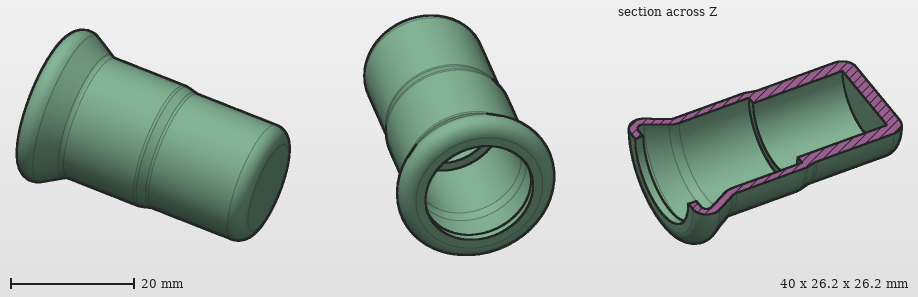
import cadquery as cq
import math

length = 40.0
bead_diameter = 26.2
body_diameter = 21.0
spigot_diameter = 20.0

socket_diameter = 18.0
spigot_bore_diameter = 15.0
socket_depth = 21.0
wall = (body_diameter - socket_diameter) / 2
spigot_wall = (spigot_diameter - spigot_bore_diameter) / 2
floor_thickness = spigot_wall

bead_round = spigot_wall
bead_center_x = bead_round
bead_center_r = bead_diameter / 2 - bead_round
flare_angle = math.radians(30)
flare_blend = 1.75

cone_start = 21.0
cone_length = 2.0
cone_blend = 2.0
spigot_end_round = spigot_wall


def on_arc(center, radius, angle):
    """Point on an arc; the angle is measured from the radial direction towards +X."""
    return (center[0] + radius * math.sin(angle), center[1] + radius * math.cos(angle))


def add_bead_and_flare(profile, inset):
    """Draw bead, flare and blend as a curve lying `inset` inside the outer surface."""
    round_radius = bead_round - inset
    blend_radius = flare_blend + inset
    cylinder_radius = body_diameter / 2 - inset
    bead_center = (bead_center_x, bead_center_r)
    bead_middle = on_arc(bead_center, round_radius, (flare_angle - math.pi / 2) / 2)
    bead_end = on_arc(bead_center, round_radius, flare_angle)

    center_rise = cylinder_radius + blend_radius - bead_center_r
    center_gap = (round_radius + blend_radius - center_rise * math.cos(flare_angle)) / math.sin(flare_angle)
    blend_center = (bead_center_x + center_gap, cylinder_radius + blend_radius)
    blend_start = on_arc(blend_center, -blend_radius, flare_angle)
    blend_middle = on_arc(blend_center, -blend_radius, flare_angle / 2)
    return (
        profile.lineTo(inset, bead_center_r)
        .threePointArc(bead_middle, bead_end)
        .lineTo(*blend_start)
        .threePointArc(blend_middle, (blend_center[0], cylinder_radius))
    )


def revolve_about_x(profile):
    return profile.close().revolve(360, (0, 0, 0), (1, 0, 0))


def make_outside():
    body_radius = body_diameter / 2
    spigot_radius = spigot_diameter / 2
    cone_end = cone_start + cone_length
    cone_angle = math.atan((body_radius - spigot_radius) / cone_length)
    corner_setback = cone_blend * math.tan(cone_angle / 2)
    body_end = cone_start - corner_setback
    spigot_start = cone_end + corner_setback
    upper_center = (body_end, body_radius - cone_blend)
    lower_center = (spigot_start, spigot_radius + cone_blend)
    end_round_center = (length - spigot_end_round, spigot_radius - spigot_end_round)

    profile = add_bead_and_flare(cq.Workplane("XY"), 0)
    profile = (
        profile.lineTo(body_end, body_radius)
        .threePointArc(
            on_arc(upper_center, cone_blend, cone_angle / 2),
            on_arc(upper_center, cone_blend, cone_angle),
        )
        .lineTo(*on_arc(lower_center, -cone_blend, cone_angle))
        .threePointArc(
            on_arc(lower_center, -cone_blend, cone_angle / 2),
            (spigot_start, spigot_radius),
        )
        .lineTo(end_round_center[0], spigot_radius)
        .threePointArc(
            on_arc(end_round_center, spigot_end_round, math.pi / 4),
            (length, end_round_center[1]),
        )
        .lineTo(length, 0)
    )
    return revolve_about_x(profile)


def make_cavity():
    """Mouth, hollow bead, socket bore, stop shoulder and blind spigot bore."""
    socket_radius = socket_diameter / 2
    spigot_bore_radius = spigot_bore_diameter / 2
    floor_x = length - floor_thickness
    profile = cq.Workplane("XY").lineTo(0, socket_radius).lineTo(wall, socket_radius)
    profile = add_bead_and_flare(profile, wall)
    profile = (
        profile.lineTo(socket_depth, socket_radius)
        .lineTo(socket_depth, spigot_bore_radius)
        .lineTo(floor_x, spigot_bore_radius)
        .lineTo(floor_x, 0)
    )
    return revolve_about_x(profile)


result = make_outside().cut(make_cavity())